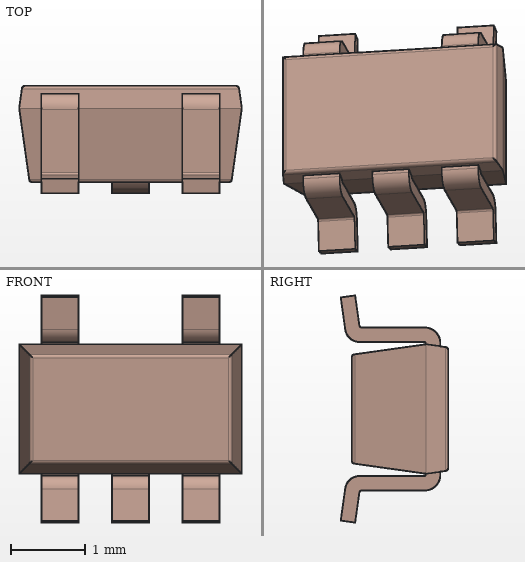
import cadquery as cq
import math

body_length = 3.0
body_height = 1.745
front_depth = 1.0
back_depth = 0.303
draft_angle = 8.0
edge_radius = 0.05

lead_width = 0.5
lead_thickness = 0.2
lead_pitch = 0.95
lead_back = 0.195
lead_inner_height = 0.9
back_bend_outer_radius = 0.215
back_bend_inner_radius = 0.015
foot_bend_outer_radius = 0.2
foot_bend_inner_radius = 0.03
foot_angle = 8.0
overall_height = 3.06
toe_front = -1.148

upper_columns = (-1, 1)
lower_columns = (-1, 0, 1)


def make_package():
    """Two drafted halves meeting at the parting plane, with rounded face edges."""
    front_half = cq.Workplane("XZ").rect(body_length, body_height).extrude(front_depth, taper=draft_angle)
    back_half = cq.Workplane("XZ").rect(body_length, body_height).extrude(-back_depth, taper=draft_angle)
    package = front_half.union(back_half)
    return package.faces("<Y or >Y").edges().fillet(edge_radius)


def make_upper_lead(package):
    """One lead on the +Z side, centred on X = 0, ending where it meets the package."""
    slope = math.tan(math.radians(foot_angle))
    tip_rise = lead_thickness * math.sin(math.radians(foot_angle))
    tip_run = lead_thickness * math.cos(math.radians(foot_angle))

    root_front = lead_back - lead_thickness
    lead_outer_height = lead_inner_height + lead_thickness
    toe_top = overall_height / 2
    toe_low = toe_top - tip_rise
    toe_rear = toe_front + tip_run

    back_outer = (lead_back, lead_outer_height)
    back_inner = (root_front, lead_inner_height)
    foot_outer = (toe_front + (toe_low - lead_inner_height) * slope, lead_inner_height)
    foot_inner = (toe_rear + (toe_top - lead_outer_height) * slope, lead_outer_height)

    profile = [
        (lead_back, 0),
        back_outer,
        foot_inner,
        (toe_rear, toe_top),
        (toe_front, toe_low),
        foot_outer,
        back_inner,
        (root_front, 0),
    ]
    lead = cq.Workplane("YZ").polyline(profile).close().extrude(lead_width / 2, both=True)

    bends = [
        (back_outer, back_bend_outer_radius),
        (back_inner, back_bend_inner_radius),
        (foot_outer, foot_bend_outer_radius),
        (foot_inner, foot_bend_inner_radius),
    ]
    for corner, radius in bends:
        bend_edge = cq.selectors.NearestToPointSelector((0, *corner))
        lead = lead.edges("|X").edges(bend_edge).fillet(radius)

    return lead.cut(package)


package = make_package()
upper_lead = make_upper_lead(package)
lower_lead = upper_lead.mirror("XY")

upper_leads = [upper_lead.translate((column * lead_pitch, 0, 0)) for column in upper_columns]
lower_leads = [lower_lead.translate((column * lead_pitch, 0, 0)) for column in lower_columns]
leads = upper_leads + lower_leads

result = cq.Compound.makeCompound([package.val(), *[solid for lead in leads for solid in lead.solids().vals()]])